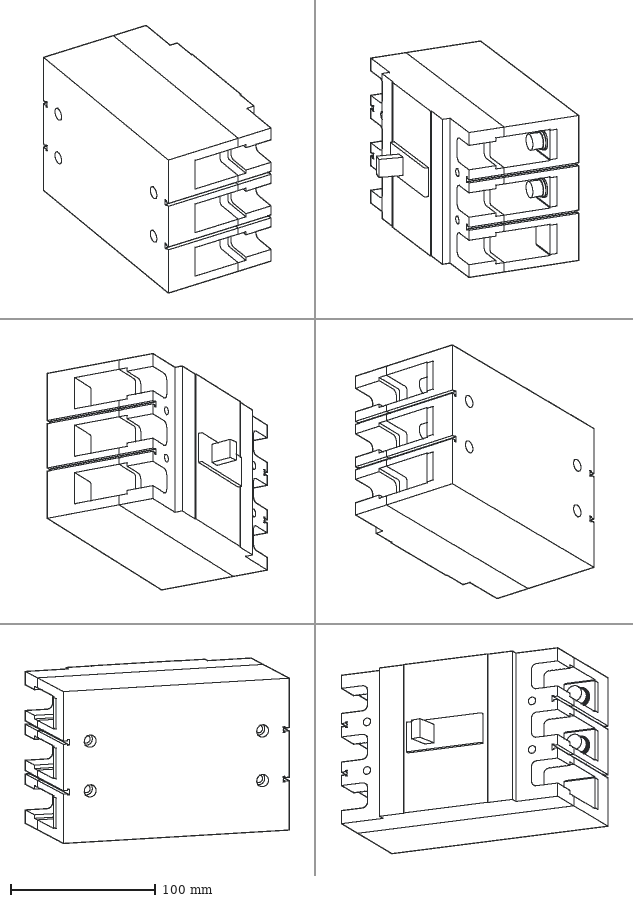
import cadquery as cq
import math

LENGTH = 165.2
HEIGHT = 107.0
BASE_DEPTH = 56.8
SHOULDER_DEPTH = 83.6
PANEL_DEPTH = 89.4
PANEL_LENGTH = 101.6
RAISED_DEPTH = 90.0
RAISED_LENGTH = 64.5
LEFT_FACE = -LENGTH / 2

POLE_PITCH = 35.0
POLE_HEIGHTS = [-POLE_PITCH, 0, POLE_PITCH]
BETWEEN_POLES = [-POLE_PITCH / 2, POLE_PITCH / 2]

POCKET_WIDTH = 23.0
POCKET_LENGTH = 23.8
POCKET_FILLET = 2.0
POCKET_BOTTOM = 21.8
POCKET_TOP = 63.1
OPENING_WIDTH = 18.0
OPENING_LENGTH = 20.0
OPENING_FILLET = 4.0

SLOT_NECK_WIDTH = 2.3
SLOT_HEAD_WIDTH = 4.0
SLOT_DEPTH = 4.5
SLOT_HEAD_LENGTH = 1.3

HOLE_SPACING = 126.0
HOLE_DIAMETER = 5.5
COUNTERBORE_DIAMETER = 8.6
COUNTERBORE_DEPTH = 8.3

TERMINAL_WIDTH = 21.6
TERMINAL_THICKNESS = 5.1

SCREW_POLE_HEIGHTS = POLE_HEIGHTS[1:]
SCREW_INSET = 11.0
SCREW_HEAD_DIAMETER = 11.4
SCREW_HEAD_TOP = 32.5
SPRING_WASHER_DIAMETER = 12.7
SPRING_WASHER_TOP = 24.6
FLAT_WASHER_DIAMETER = 13.9
FLAT_WASHER_TOP = 23.0

PLATE_LENGTH = 57.5
PLATE_WIDTH = 21.3
PLATE_TOP = 93.0
PLATE_FILLET = 0.5
LEVER_THICKNESS = 7.0
LEVER_WIDTH = 13.4
LEVER_OFFSET = 10.9
LEVER_TILT = 10.0
LEVER_TOP = 110.0


def box(x_range, y_range, z_range):
    """A box that spans the three given (low, high) ranges."""
    sizes = [high - low for low, high in (x_range, y_range, z_range)]
    corner = (x_range[0], y_range[0], z_range[0])
    return cq.Workplane("XY").box(*sizes, centered=False).translate(corner)


def centred(size, middle=0):
    """The (low, high) range of a size about its middle."""
    return (middle - size / 2, middle + size / 2)


def both_ends(cutter):
    """A cutter for the left end together with its mirror image at the right end."""
    return cutter.add(cutter.mirror("YZ")).combine()


def end_recess(length, width, y_range, pole_height, fillet):
    """A recess in the left end face, with rounded inner corners."""
    recess = box((LEFT_FACE, LEFT_FACE + length), y_range, centred(width, pole_height))
    return recess.edges("|Y and >X").fillet(fillet)


def t_slot(slot_height):
    """A T-slot through the whole depth of the left end face."""
    bottom = LEFT_FACE + SLOT_DEPTH
    through = (0, SHOULDER_DEPTH)
    neck = box((LEFT_FACE, bottom), through, centred(SLOT_NECK_WIDTH, slot_height))
    head = box((bottom - SLOT_HEAD_LENGTH, bottom), through, centred(SLOT_HEAD_WIDTH, slot_height))
    return neck.union(head)


def y_cylinder(diameter, y_start, y_end):
    """A cylinder along Y between two depths, on the Y axis."""
    return cq.Workplane("XZ", origin=(0, y_start, 0)).circle(diameter / 2).extrude(y_start - y_end)


def mounting_hole():
    """The left-hand counterbored hole, at mid height."""
    bore = y_cylinder(HOLE_DIAMETER, 0, SHOULDER_DEPTH)
    counterbore = y_cylinder(COUNTERBORE_DIAMETER, 0, COUNTERBORE_DEPTH)
    return bore.union(counterbore).translate((-HOLE_SPACING / 2, 0, 0))


def cut_housing_features(body):
    """Cut the pockets, front openings, T-slots and mounting holes that base and cover share."""
    for pole_height in POLE_HEIGHTS:
        pocket_range = (POCKET_BOTTOM, POCKET_TOP)
        opening_range = (POCKET_TOP, SHOULDER_DEPTH)
        pocket = end_recess(POCKET_LENGTH, POCKET_WIDTH, pocket_range, pole_height, POCKET_FILLET)
        opening = end_recess(OPENING_LENGTH, OPENING_WIDTH, opening_range, pole_height, OPENING_FILLET)
        body = body.cut(both_ends(pocket)).cut(both_ends(opening))
    for gap_height in BETWEEN_POLES:
        hole = mounting_hole().translate((0, 0, gap_height))
        body = body.cut(both_ends(t_slot(gap_height))).cut(both_ends(hole))
    return body


def make_base(terminals):
    """The rear half of the housing, with a recess for each terminal."""
    base = box(centred(LENGTH), (0, BASE_DEPTH), centred(HEIGHT))
    base = cut_housing_features(base)
    for terminal in terminals:
        base = base.cut(terminal)
    return base


def make_cover():
    """The front half of the housing, stepped up to the raised strip behind the toggle."""
    cover = box(centred(LENGTH), (BASE_DEPTH, SHOULDER_DEPTH), centred(HEIGHT))
    panel = box(centred(PANEL_LENGTH), (SHOULDER_DEPTH, PANEL_DEPTH), centred(HEIGHT))
    raised = box(centred(RAISED_LENGTH), (PANEL_DEPTH, RAISED_DEPTH), centred(HEIGHT))
    return cut_housing_features(cover.union(panel).union(raised))


def make_terminal(pole_height):
    """A terminal block under the pocket floor of one pole."""
    y_range = (POCKET_BOTTOM - TERMINAL_THICKNESS, POCKET_BOTTOM)
    return box((LEFT_FACE, LEFT_FACE + POCKET_LENGTH), y_range, centred(TERMINAL_WIDTH, pole_height))


def make_screw(pole_height):
    """A screw head with its two washers, standing on a terminal."""
    flat_washer = y_cylinder(FLAT_WASHER_DIAMETER, POCKET_BOTTOM, FLAT_WASHER_TOP)
    spring_washer = y_cylinder(SPRING_WASHER_DIAMETER, FLAT_WASHER_TOP, SPRING_WASHER_TOP)
    head = y_cylinder(SCREW_HEAD_DIAMETER, SPRING_WASHER_TOP, SCREW_HEAD_TOP)
    screw = flat_washer.union(spring_washer).union(head)
    return screw.translate((LEFT_FACE + SCREW_INSET, 0, pole_height))


def make_toggle():
    """The slide plate on the raised strip, its end edges rounded, with the tilted lever."""
    plate = box(centred(PLATE_LENGTH), (RAISED_DEPTH, PLATE_TOP), centred(PLATE_WIDTH))
    plate = plate.faces(">Y").edges("|Z").fillet(PLATE_FILLET)
    tilt = math.radians(LEVER_TILT)
    half_span = LEVER_THICKNESS / 2 / math.cos(tilt)
    foot_depth = RAISED_DEPTH
    foot_middle = LEVER_OFFSET - (PLATE_TOP - foot_depth) * math.tan(tilt)
    left_foot = (foot_middle - half_span, foot_depth)
    right_foot = (foot_middle + half_span, foot_depth)
    left_tip = (left_foot[0] + (LEVER_TOP - foot_depth) * math.tan(tilt), LEVER_TOP)
    right_tip = (
        left_tip[0] + LEVER_THICKNESS * math.cos(tilt),
        left_tip[1] - LEVER_THICKNESS * math.sin(tilt),
    )
    lever = cq.Workplane("XY").polyline([left_foot, right_foot, right_tip, left_tip]).close()
    return plate.union(lever.extrude(LEVER_WIDTH / 2, both=True))


terminals = [make_terminal(pole_height) for pole_height in POLE_HEIGHTS]
screws = [make_screw(pole_height) for pole_height in SCREW_POLE_HEIGHTS]
base = make_base(terminals)
cover = make_cover()
toggle = make_toggle()

result = cq.Compound.makeCompound(
    [base.val(), cover.val(), toggle.val()]
    + [terminal.val() for terminal in terminals]
    + [screw.val() for screw in screws]
)